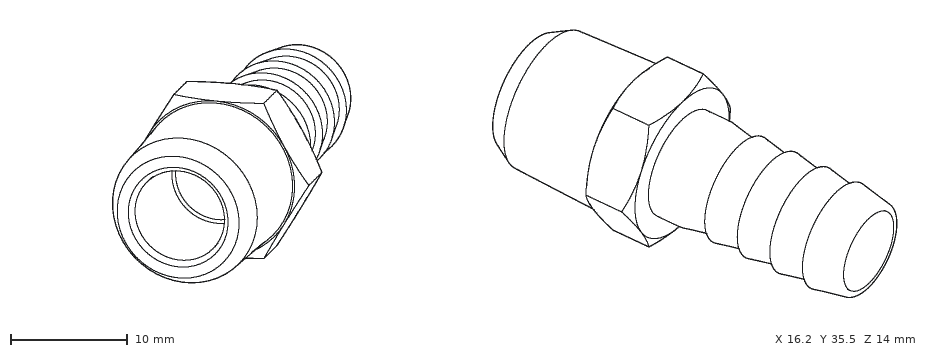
import cadquery as cq
import math

length = 35.5

tip_radius = 5.45
tip_chamfer_length = 1.9
taper_small_radius = 6.5
taper_large_radius = 6.8

hex_across_flats = 14.0
hex_start = 10.97
hex_height = 5.0
hex_chamfer_angle = 30.0
hex_end = hex_start + hex_height
hex_corner_radius = hex_across_flats / math.sqrt(3)

barb_count = 5
barb_pitch = 3.4
barb_radius = 5.0
root_radius = 4.35
end_fillet = 0.32
barbs_start = length - barb_count * barb_pitch

bore_radius = 3.73
seat_radius = 4.0
mouth_radius = 4.47
mouth_depth = mouth_radius - seat_radius
seat_depth = hex_start
drill_point_angle = 120.0
drill_point_depth = (seat_radius - bore_radius) / math.tan(math.radians(drill_point_angle / 2))


def revolve_profile(points):
    """Solid of revolution about Y from (radius, y) points."""
    return cq.Workplane("XY").polyline(points).close().revolve(360, (0, 0), (0, 1))


def make_male_end():
    return revolve_profile([
        (0, 0),
        (tip_radius, 0),
        (taper_small_radius, tip_chamfer_length),
        (taper_large_radius, hex_start),
        (0, hex_start),
    ])


def make_hex_collar():
    prism = (
        cq.Workplane("XZ", origin=(0, hex_start, 0))
        .polygon(6, 2 * hex_corner_radius)
        .extrude(-hex_height)
    )
    face_radius = hex_across_flats / 2
    bevel = (hex_corner_radius - face_radius) * math.tan(math.radians(hex_chamfer_angle))
    envelope = revolve_profile([
        (0, hex_start),
        (face_radius, hex_start),
        (hex_corner_radius, hex_start + bevel),
        (hex_corner_radius, hex_end - bevel),
        (face_radius, hex_end),
        (0, hex_end),
    ])
    return prism.intersect(envelope)


def make_barbed_tail():
    points = [(0, hex_end), (barb_radius, hex_end)]
    for i in range(barb_count):
        barb_base = barbs_start + i * barb_pitch
        points.append((barb_radius, barb_base))
        points.append((root_radius, barb_base + barb_pitch))
    points.append((0, length))
    return revolve_profile(points).faces(">Y").edges().fillet(end_fillet)


def make_bore():
    return revolve_profile([
        (0, 0),
        (mouth_radius, 0),
        (seat_radius, mouth_depth),
        (seat_radius, seat_depth),
        (bore_radius, seat_depth + drill_point_depth),
        (bore_radius, length),
        (0, length),
    ])


result = make_male_end().union(make_hex_collar()).union(make_barbed_tail()).cut(make_bore())